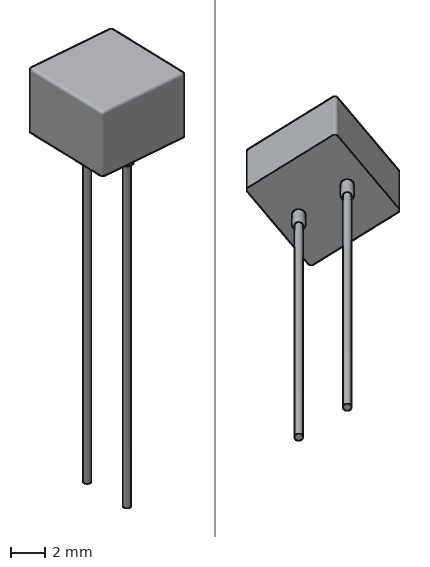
import cadquery as cq

total_height = 29.5

body_width = 6.5
body_height = 4.48
body_edge_radius = 0.2
body_bottom = total_height - body_height

lead_pitch = 3.48
lead_diameter = 0.5
collar_diameter = 0.8
collar_length = 1.2
collar_edge_radius = 0.12


def make_body():
    block = (
        cq.Workplane("XY")
        .workplane(offset=body_bottom)
        .rect(body_width, body_width)
        .extrude(body_height)
    )
    return block.edges("|Z or >Z").fillet(body_edge_radius)


def make_lead(x):
    collar = (
        cq.Workplane("XY")
        .workplane(offset=body_bottom)
        .center(x, 0)
        .circle(collar_diameter / 2)
        .extrude(-collar_length)
        .faces("<Z")
        .edges()
        .fillet(collar_edge_radius)
    )
    wire = cq.Workplane("XY").center(x, 0).circle(lead_diameter / 2).extrude(body_bottom)
    return collar.union(wire)


result = make_body()
for side in (-1, 1):
    result = result.union(make_lead(side * lead_pitch / 2))